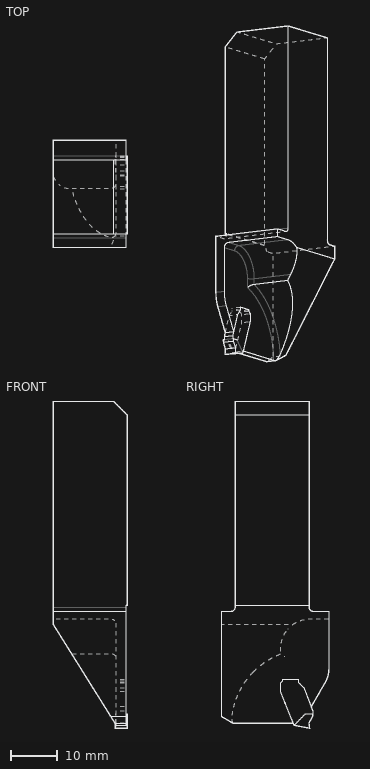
import cadquery as cq
import math


total_height = 69.85
shank_width = 15.85
shank_foot_z = 26.25
shank_chamfer = 2.9

head_thickness = 15.6
head_left_y = 12.15
head_right_y = -10.8
head_top_z = 25.0
head_bottom_z = 1.05
neck_fillet = 0.85
relief_start_z = 11.2
relief_angle = 30.0
relief_blend = 6.0
bevel_width = 2.5
bevel_height = 1.5

slope_top_z = 22.2
slope_angle = 32.0

pocket_floor_x = 13.4
pocket_top_z = 23.3
pocket_right_y = 1.8
pocket_corner_radius = 6.2
round_pocket_radius = 16.4
round_pocket_y = 7.7
round_pocket_z = 0.55
pocket_floor_fillet = 1.05
clearance = 7.0

rake_rise = 0.2
tip_back_x = 15.85
step_z = 3.1
tip_corner = (8.0, 0.0)
crease_top = (7.05, step_z)
crease_bottom = (4.7, 0.6)
notch_upper = (8.7, 3.7)
step_left = (8.7, step_z)
notch_lower = (8.65, 2.5)
relief_corner = (7.9, 1.2)
insert_tail = [
    (1.75, 7.9),
    (1.75, 9.65),
    (2.25, 10.1),
    (2.25, 10.4),
    (5.6, 10.4),
    (5.6, 9.85),
    (6.85, 8.6),
]
tip_edge = [step_left, notch_lower, relief_corner, tip_corner, crease_bottom]
insert_outline = [notch_upper] + tip_edge + insert_tail
tip_outline = [crease_top] + tip_edge


def prism_along_x(outline, x_start, x_end):
    """Extrude a closed (y, z) outline from x_start to x_end."""
    return cq.Workplane("YZ", origin=(x_start, 0, 0)).polyline(outline).close().extrude(x_end - x_start)


def make_shank():
    shank = cq.Workplane("XY", origin=(0, 0, shank_foot_z)).box(
        shank_width, shank_width, total_height - shank_foot_z, centered=(False, True, False)
    )
    return shank.edges(">X and >Z").chamfer(shank_chamfer)


def make_head_blank():
    """Head and short neck, as thick as the head, below the shank."""
    half_width = shank_width / 2
    relief_run = (relief_start_z - head_bottom_z) * math.tan(math.radians(relief_angle))
    outline = [
        (head_left_y, head_top_z),
        (head_left_y, relief_start_z),
        (head_left_y - relief_run, head_bottom_z),
        (head_right_y + bevel_width, head_bottom_z),
        (head_right_y, head_bottom_z + bevel_height),
        (head_right_y, head_top_z),
        (-half_width, head_top_z),
        (-half_width, shank_foot_z),
        (half_width, shank_foot_z),
        (half_width, head_top_z),
    ]
    blank = prism_along_x(outline, 0, head_thickness)
    relief_edge = cq.selectors.NearestToPointSelector((head_thickness / 2, head_left_y, relief_start_z))
    blank = blank.edges(relief_edge).fillet(relief_blend)
    for side in (-1, 1):
        neck_edge = cq.selectors.NearestToPointSelector((head_thickness / 2, side * half_width, head_top_z))
        blank = blank.edges(neck_edge).fillet(neck_fillet)
    return blank


def make_slope_cutter():
    slope_run = slope_top_z * math.tan(math.radians(slope_angle))
    return (
        cq.Workplane("XZ")
        .polyline([(0, slope_top_z), (slope_run, 0), (0, 0)])
        .close()
        .extrude(2 * shank_width, both=True)
    )


def make_pocket_cutter():
    """Rounded box and disc, both with a filleted rim at the pocket floor."""
    box_width = head_left_y + clearance - pocket_right_y
    box_height = pocket_top_z + clearance
    box_part = cq.Workplane("XY").box(
        pocket_floor_x + clearance, box_width, box_height, centered=False
    ).translate((-clearance, pocket_right_y, -clearance))
    box_part = box_part.edges("|X and <Y and >Z").fillet(pocket_corner_radius)
    disc_part = (
        cq.Workplane("YZ", origin=(-clearance, round_pocket_y, round_pocket_z))
        .circle(round_pocket_radius)
        .extrude(pocket_floor_x + clearance)
    )
    box_part = box_part.faces(">X").edges().fillet(pocket_floor_fillet)
    disc_part = disc_part.faces(">X").edges().fillet(pocket_floor_fillet)
    return box_part.union(disc_part)


def make_rake():
    """Wedge that rises from the slanting crease to its full height at the tip corner."""
    crease_dy = crease_bottom[0] - crease_top[0]
    crease_dz = crease_bottom[1] - crease_top[1]
    crease_length = math.hypot(crease_dy, crease_dz)
    tip_dy = tip_corner[0] - crease_top[0]
    tip_dz = tip_corner[1] - crease_top[1]
    tip_distance = abs(crease_dy * tip_dz - crease_dz * tip_dy) / crease_length
    crease_plane = cq.Plane(
        origin=(pocket_floor_x, *crease_top),
        xDir=(-1, 0, 0),
        normal=(0, crease_dy, crease_dz),
    )
    wedge = (
        cq.Workplane(crease_plane)
        .polyline([(0, 0), (0, tip_distance), (rake_rise, tip_distance)])
        .close()
        .extrude(clearance, both=True)
    )
    return wedge.intersect(prism_along_x(tip_outline, pocket_floor_x - rake_rise, pocket_floor_x))


def make_insert():
    """Flat insert with a raised rake face in front and a thicker cutting tip behind."""
    plate = prism_along_x(insert_outline, pocket_floor_x, head_thickness)
    tip_back = prism_along_x(tip_outline, head_thickness, tip_back_x)
    return plate.union(tip_back).union(make_rake())


def make_holder():
    """Shank and head as one body, with a seat for the insert."""
    holder = make_shank().union(make_head_blank())
    seat = prism_along_x(insert_outline, 0, head_thickness)
    return holder.cut(make_slope_cutter()).cut(make_pocket_cutter()).cut(seat)


holder = make_holder()
insert = make_insert()
result = cq.Compound.makeCompound([holder.solids().val(), insert.solids().val()])